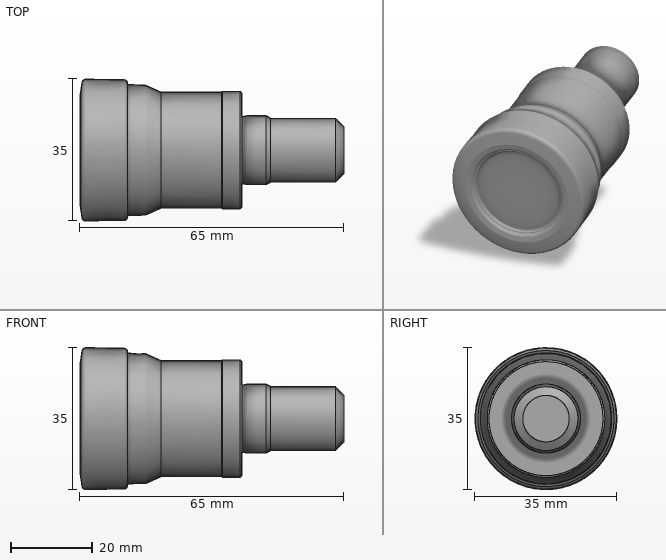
import cadquery as cq


cap_dia = 34.95
cap_back_dia = 34.7
cap_face_outer_dia = 33.25
cap_crest_dia = 27.15
cap_mouth_dia = 24.4
cap_bore_dia = 23.1
cap_back_edge_dia = 33.5
cap_face_edge_x = 0.45
cap_round_end_x = 1.55
cap_taper_x = 2.6
cap_back_round_x = 10.7
cap_back_x = 11.6
cap_mouth_x = 0.25
cap_shoulder_bulge_x = 0.8
cap_shoulder_bulge_dia = 34.45

plug_x = 0.9
recess_rim_dia = 22.75
recess_wall_foot_dia = 21.95
recess_floor_dia = 21.25
recess_wall_depth = 0.6
recess_depth = 0.65

collar_front_dia = 32.35
collar_back_dia = 31.95
collar_back_x = 16.05
cone_front_x = 16.45
cone_front_dia = 31.7
cone_back_x = 19.75
cone_back_dia = 28.7
barrel_x = 19.95

barrel_dia = 28.6
flange_dia = 29.0
flange_x = 35.0
flange_step_length = 0.2
flange_back_x = 39.8
flange_chamfer = 0.45

seat_dia = 17.0
seat_relief_dia = 16.6
seat_relief_end_x = 40.3
seat_x = 41.1
seat_back_x = 45.8
tail_dia = 15.7
tail_x = 46.9
tail_chamfer = 2.15
overall_length = 65.0


def station(x, diameter):
    """Profile point at a given axial station and diameter."""
    return (x, diameter / 2)


def revolve_about_x(profile):
    """Full turn of a closed profile about the X axis."""
    return profile.revolve(360, (0, 0, 0), (1, 0, 0))


def make_cap_ring():
    """Cap ring: tapered outside, dished mouth and a straight bore for the plug."""
    profile = (
        cq.Workplane("XY")
        .moveTo(*station(plug_x, cap_bore_dia))
        .lineTo(*station(cap_mouth_x, cap_mouth_dia))
        .lineTo(*station(0, cap_crest_dia))
        .lineTo(*station(cap_face_edge_x, cap_face_outer_dia))
        .threePointArc(
            station(cap_shoulder_bulge_x, cap_shoulder_bulge_dia),
            station(cap_round_end_x, cap_dia),
        )
        .lineTo(*station(cap_taper_x, cap_dia))
        .lineTo(*station(cap_back_round_x, cap_back_dia))
        .tangentArcPoint(station(cap_back_x, cap_back_edge_dia), relative=False)
        .lineTo(*station(cap_back_x, cap_bore_dia))
        .close()
    )
    return revolve_about_x(profile)


def make_shank():
    """Shank: plug inside the cap, collar, barrel, flange, seat and chamfered tail."""
    outline = [
        (plug_x + recess_depth, 0),
        (plug_x + recess_depth, recess_floor_dia),
        (plug_x + recess_wall_depth, recess_wall_foot_dia),
        (plug_x, recess_rim_dia),
        (plug_x, cap_bore_dia),
        (cap_back_x, cap_bore_dia),
        (cap_back_x, collar_front_dia),
        (collar_back_x, collar_back_dia),
        (cone_front_x, cone_front_dia),
        (cone_back_x, cone_back_dia),
        (barrel_x, barrel_dia),
        (flange_x - flange_step_length, barrel_dia),
        (flange_x, flange_dia),
        (flange_back_x - flange_chamfer, flange_dia),
        (flange_back_x, flange_dia - 2 * flange_chamfer),
        (flange_back_x, seat_relief_dia),
        (seat_relief_end_x, seat_relief_dia),
        (seat_x, seat_dia),
        (seat_back_x, seat_dia),
        (tail_x, tail_dia),
        (overall_length - tail_chamfer, tail_dia),
        (overall_length, tail_dia - 2 * tail_chamfer),
        (overall_length, 0),
    ]
    points = [station(x, diameter) for x, diameter in outline]
    return revolve_about_x(cq.Workplane("XY").polyline(points).close())


cap_ring = make_cap_ring()
shank = make_shank()

result = cq.Compound.makeCompound([cap_ring.val(), shank.val()])